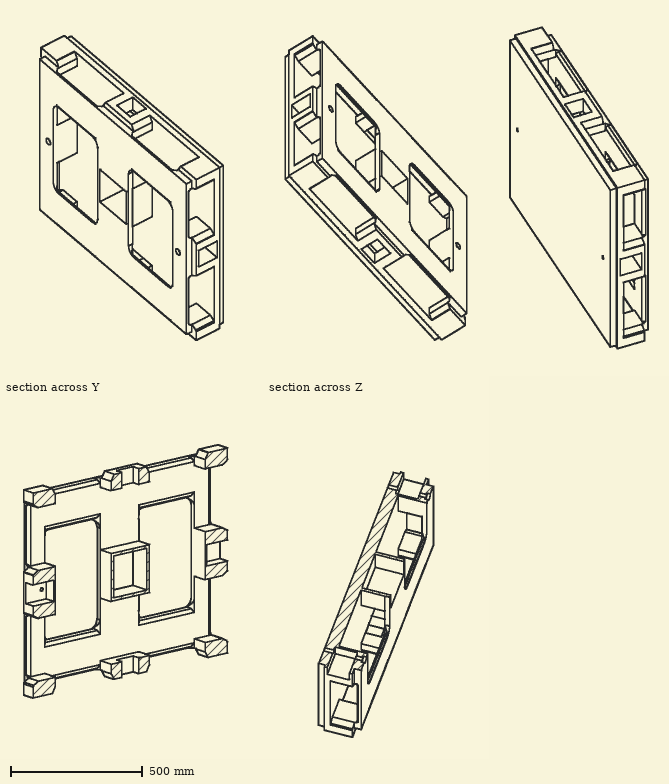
import cadquery as cq
import math

LENGTH_X = 965.2
THICKNESS_Y = 165.1
HEIGHT_Z = 812.8
HALF_X = LENGTH_X / 2
HALF_Z = HEIGHT_Z / 2

DECK_THICKNESS = 26.7
LIP_THICKNESS = 25.4
DECK_INSET = 26.4
LIP_INSET = 8.9
LIP_DRAFT = 2.0
DECK_FACE_Y = -THICKNESS_Y / 2
JOINT_Y = DECK_FACE_Y + DECK_THICKNESS
BODY_TOP_Y = THICKNESS_Y / 2 - LIP_THICKNESS
DECK_HALF_X = HALF_X - DECK_INSET
DECK_HALF_Z = HALF_Z - DECK_INSET

ROOF_THICKNESS = 25.4
FLOOR_SINK = 7.2
CORNER_BLOCK_X = 111.6
CORNER_BLOCK_Z = 63.5
CENTRAL_POCKET = 163.5
CENTRAL_WALL = 13.8
CHANNEL_INNER = CENTRAL_POCKET / 2 + CENTRAL_WALL
CHANNEL_OUTER_X = HALF_X - CORNER_BLOCK_X
CHANNEL_OUTER_Z = HALF_Z - CORNER_BLOCK_Z
CHANNEL_ROOF_Y = BODY_TOP_Y - ROOF_THICKNESS
CHANNEL_FLOOR_Y = JOINT_Y - FLOOR_SINK

FLARE_SLOPE = math.tan(math.radians(30))
LEAD_SLOPE = math.tan(math.radians(65))
FLARE_DEPTH = 25.4
LEAD_Z_INNER = 0.0
LEAD_Z_OUTER = 2.0
LEAD_X_INNER = 2.0
LEAD_X_OUTER = 6.2

RAMP_SLOPE = math.tan(math.radians(30))
STEEP_RAMP_SLOPE = math.tan(math.radians(54))
RAMP_DROP = 8.4
STEEP_RAMP_DROP = 9.3
RAMP_RUN = RAMP_DROP / RAMP_SLOPE
STEEP_RAMP_RUN = STEEP_RAMP_DROP / STEEP_RAMP_SLOPE

WINDOW_INNER_X = 96.8
WINDOW_LEAN_X = 94.4
WINDOW_HALF_Z = 217.0
WINDOW_RADIUS = 35.0

SIDE_POCKET_WIDTH = 82.55
SIDE_POCKET_ROOF = 12.7
SIDE_POCKET_TOP_Y = BODY_TOP_Y - SIDE_POCKET_ROOF
POCKET_Z_HEIGHT = 76.2
POCKET_X_HEIGHT = 87.6
POCKET_X_DEPTH = 101.6

HOLE_X = 402.8
HOLE_DIAMETER = 12.7
COUNTERBORE_DIAMETER = 26.2
COUNTERBORE_DEPTH = 12.7


def box(x_range, y_range, z_range):
    """Axis-aligned box between pairs of limits."""
    limits = (x_range, y_range, z_range)
    sizes = [high - low for low, high in limits]
    corner = tuple(low for low, high in limits)
    return cq.Workplane("XY").box(*sizes, centered=False).translate(corner)


def prism(plane, points, length):
    """Prism over a polygon, extruded from the origin plane along its normal."""
    return cq.Workplane(plane).polyline(points).close().extrude(length)


def prism_y(points, y_low, y_high):
    """Prism between two Y levels over a polygon of (x, z) points."""
    return prism("XZ", points, y_low - y_high).translate((0, y_low, 0))


def with_mirrors(shape):
    """The shape together with its mirror images in X and in Z."""
    pair = shape.union(shape.mirror("YZ"))
    return pair.union(pair.mirror("XY"))


def make_layers():
    """Solid deck, body and drafted lip plate."""
    deck = box(
        (-DECK_HALF_X, DECK_HALF_X),
        (DECK_FACE_Y, JOINT_Y),
        (-DECK_HALF_Z, DECK_HALF_Z),
    )
    body = box((-HALF_X, HALF_X), (JOINT_Y, BODY_TOP_Y), (-HALF_Z, HALF_Z))
    lip = (
        cq.Workplane("XZ", origin=(0, BODY_TOP_Y, 0))
        .rect(LENGTH_X - 2 * LIP_INSET, HEIGHT_Z - 2 * LIP_INSET)
        .extrude(-LIP_THICKNESS, taper=LIP_DRAFT)
    )
    return body.union(deck).union(lip)


def flared_wall(face, wall, side, lead):
    """Points (along, across) of one channel wall from mid-length out to the face.

    side is +1 when the flare widens away from the centre and -1 when towards it.
    """
    lead_depth = lead / LEAD_SLOPE
    taper_width = (FLARE_DEPTH - lead_depth) * FLARE_SLOPE
    points = [
        (0, wall),
        (face - FLARE_DEPTH, wall),
        (face - lead_depth, wall + side * taper_width),
    ]
    if lead > 0:
        points.append((face, wall + side * (taper_width + lead)))
    return points


def cut_channels(part):
    """Cut the crossing fork channels with their flared mouths."""
    z_inner = flared_wall(HALF_Z, CHANNEL_INNER, -1, LEAD_Z_INNER)
    z_outer = flared_wall(HALF_Z, CHANNEL_OUTER_X, 1, LEAD_Z_OUTER)
    x_inner = flared_wall(HALF_X, CHANNEL_INNER, -1, LEAD_X_INNER)
    x_outer = flared_wall(HALF_X, CHANNEL_OUTER_Z, 1, LEAD_X_OUTER)
    z_outline = [(across, along) for along, across in z_inner + z_outer[::-1]]
    x_outline = x_inner + x_outer[::-1]
    for outline in (z_outline, x_outline):
        part = part.cut(with_mirrors(prism_y(outline, JOINT_Y, CHANNEL_ROOF_Y)))

    sunk = (CHANNEL_FLOOR_Y, JOINT_Y)
    sunk_z = box((CHANNEL_INNER, CHANNEL_OUTER_X), sunk, (0, HALF_Z))
    sunk_x = box((0, HALF_X), sunk, (CHANNEL_INNER, CHANNEL_OUTER_Z))
    return part.cut(with_mirrors(sunk_z)).cut(with_mirrors(sunk_x))


def ramp_ends(outer, drop):
    """Points (across, y) of a ramp seen end-on: it narrows at 45 degrees on the way down."""
    bottom = CHANNEL_FLOOR_Y - drop
    return [
        (CHANNEL_INNER, CHANNEL_FLOOR_Y),
        (outer, CHANNEL_FLOOR_Y),
        (outer - drop, bottom),
        (CHANNEL_INNER + drop, bottom),
    ]


def two_stage_ramp(edge, inward):
    """Cutter for a ramp on a deck edge at z = edge; inward (+1 or -1) points into the deck.

    The lowest level runs on past the edge, thinning the rounded window corners too.
    """
    drop = RAMP_DROP + STEEP_RAMP_DROP
    beyond = edge - inward * WINDOW_RADIUS
    profile = [
        (CHANNEL_FLOOR_Y, edge + inward * (STEEP_RAMP_RUN + RAMP_RUN)),
        (CHANNEL_FLOOR_Y - RAMP_DROP, edge + inward * STEEP_RAMP_RUN),
        (CHANNEL_FLOOR_Y - drop, edge),
        (CHANNEL_FLOOR_Y - drop, beyond),
        (CHANNEL_FLOOR_Y, beyond),
    ]
    ends = prism("XY", ramp_ends(CHANNEL_OUTER_X, drop), HALF_Z)
    return prism("YZ", profile, HALF_X).intersect(ends)


def side_ramp():
    """Cutter for the single-stage ramp at the mouth of a channel along X."""
    profile = [
        (DECK_HALF_X - RAMP_RUN, CHANNEL_FLOOR_Y),
        (DECK_HALF_X, CHANNEL_FLOOR_Y - RAMP_DROP),
        (DECK_HALF_X, CHANNEL_FLOOR_Y),
    ]
    ends = [(y, across) for across, y in ramp_ends(CHANNEL_OUTER_Z, RAMP_DROP)]
    return prism("XY", profile, HALF_Z).intersect(prism("YZ", ends, HALF_X))


def cut_ramps(part):
    """Cut the ramps at the channel mouths and on the window edges."""
    mouth_ramp = two_stage_ramp(DECK_HALF_Z, -1)
    window_ramp = two_stage_ramp(WINDOW_HALF_Z, 1)
    for ramp in (mouth_ramp, window_ramp, side_ramp()):
        part = part.cut(with_mirrors(ramp))
    return part


def cut_windows(part):
    """Cut the rounded deck windows; their inner straight sides lean towards the centre."""
    window = (
        box(
            (WINDOW_INNER_X, CHANNEL_OUTER_X),
            (DECK_FACE_Y, JOINT_Y),
            (-WINDOW_HALF_Z, WINDOW_HALF_Z),
        )
        .edges("|Y")
        .fillet(WINDOW_RADIUS)
    )
    lean_half_z = WINDOW_HALF_Z - WINDOW_RADIUS
    lean = prism(
        "XY",
        [
            (WINDOW_LEAN_X, DECK_FACE_Y),
            (WINDOW_INNER_X, DECK_FACE_Y),
            (WINDOW_INNER_X, CHANNEL_FLOOR_Y),
        ],
        2 * lean_half_z,
    ).translate((0, 0, -lean_half_z))
    for cutter in (window, lean):
        part = part.cut(cutter).cut(cutter.mirror("YZ"))
    return part


def cut_pockets(part):
    """Cut the central pocket and the pockets in the four side blocks."""
    central = (-CENTRAL_POCKET / 2, CENTRAL_POCKET / 2)
    across = (-SIDE_POCKET_WIDTH / 2, SIDE_POCKET_WIDTH / 2)
    y_range_z = (SIDE_POCKET_TOP_Y - POCKET_Z_HEIGHT, SIDE_POCKET_TOP_Y)
    y_range_x = (SIDE_POCKET_TOP_Y - POCKET_X_HEIGHT, SIDE_POCKET_TOP_Y)
    z_pocket = box(across, y_range_z, (CHANNEL_OUTER_Z, HALF_Z))
    x_pocket = box((HALF_X - POCKET_X_DEPTH, HALF_X), y_range_x, across)
    part = part.cut(box(central, (DECK_FACE_Y, CHANNEL_ROOF_Y), central))
    part = part.cut(z_pocket).cut(z_pocket.mirror("XY"))
    return part.cut(x_pocket).cut(x_pocket.mirror("YZ"))


def drill_holes(part):
    """Drill the two through holes, counterbored from the deck face."""
    for x in (-HOLE_X, HOLE_X):
        start = cq.Workplane("XZ", origin=(x, DECK_FACE_Y, 0))
        part = part.cut(start.circle(HOLE_DIAMETER / 2).extrude(-THICKNESS_Y))
        part = part.cut(start.circle(COUNTERBORE_DIAMETER / 2).extrude(-COUNTERBORE_DEPTH))
    return part


result = make_layers()
result = cut_channels(result)
result = cut_ramps(result)
result = cut_windows(result)
result = cut_pockets(result)
result = drill_holes(result)